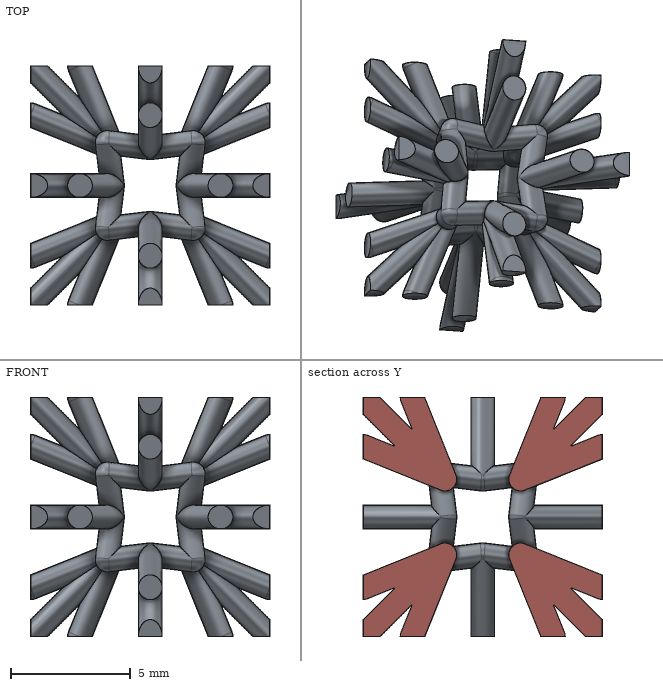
import cadquery as cq

cell_size = 10.0
strut_radius = 0.5
corner_offset = 1.8
edge_offset = 1.58
branch_offset = 2.96

half_cell = cell_size / 2
signs = (-1, 1)


def node(normal_axis, first, second):
    """Point in the mid-plane of normal_axis, from its two in-plane coordinates."""
    in_plane = [first, second]
    in_plane.insert(normal_axis, 0.0)
    return cq.Vector(*in_plane)


def strut(start, end):
    """Round bar between two points."""
    axis = end - start
    return cq.Solid.makeCylinder(strut_radius, axis.Length, start, axis)


def ball(center):
    """Sphere that rounds the joint at a node."""
    return cq.Workplane("XY").sphere(strut_radius).val().moved(cq.Location(center))


struts = []
nodes = []

for x_sign in signs:
    for y_sign in signs:
        for z_sign in signs:
            corner_signs = (x_sign, y_sign, z_sign)
            corner = cq.Vector(*corner_signs) * corner_offset
            nodes.append(corner)
            for axis in range(3):
                first_sign, second_sign = corner_signs[:axis] + corner_signs[axis + 1:]
                edge_node = node(axis, first_sign * edge_offset, second_sign * edge_offset)
                struts.append(strut(corner, edge_node))

branch_ends = (
    (half_cell, half_cell),
    (half_cell, branch_offset),
    (branch_offset, half_cell),
)
for axis in range(3):
    for first_sign in signs:
        for second_sign in signs:
            edge_node = node(axis, first_sign * edge_offset, second_sign * edge_offset)
            nodes.append(edge_node)
            for first, second in branch_ends:
                end = node(axis, first_sign * first, second_sign * second)
                nodes.append(end)
                struts.append(strut(edge_node, end))

balls = [ball(center) for center in nodes]
lattice = struts[0].fuse(*struts[1:], *balls)
cell = cq.Workplane("XY").box(cell_size, cell_size, cell_size)
result = cell.intersect(cq.Workplane(obj=lattice))